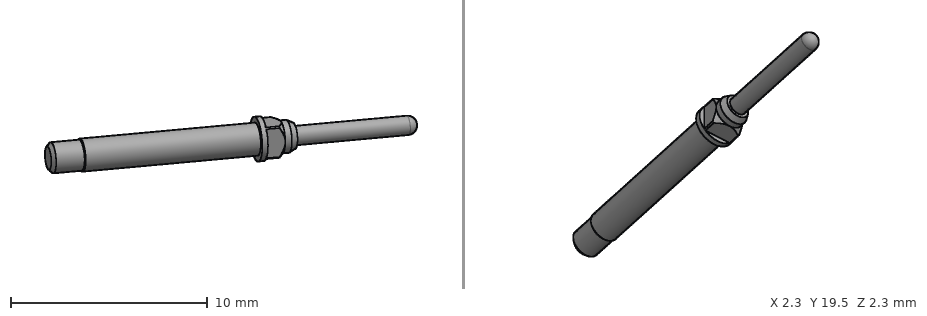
import cadquery as cq
import math


pin_diameter = 1.0
shoulder_diameter = 1.35
barrel_diameter = 1.7
flange_diameter = 2.3
tail_diameter = 1.6

flange_thickness = 0.3
square_length = 1.0
neck_length = 0.35
shoulder_length = 0.35
pin_length = 6.5
barrel_length = 9.3
tail_length = 1.7

square_width = barrel_diameter
barrel_step_chamfer = (barrel_diameter - tail_diameter) / 2
tail_chamfer = 0.2

pin_radius = pin_diameter / 2
shoulder_radius = shoulder_diameter / 2
barrel_radius = barrel_diameter / 2
flange_radius = flange_diameter / 2
tail_radius = tail_diameter / 2

square_end = flange_thickness + square_length
neck_end = square_end + neck_length
shoulder_end = neck_end + shoulder_length
tip_end = shoulder_end + pin_length
tail_start = -barrel_length
tail_end = tail_start - tail_length


def revolve_about_y(half_profile):
    """Revolve a closed half profile in the XY plane about the Y axis."""
    return half_profile.close().revolve(360, (0, 0, 0), (0, 1, 0))


def make_turned_body():
    """Barrel with stepped tail, flange, neck, conical shoulder and round-nosed pin."""
    nose_start = tip_end - pin_radius
    nose_mid = pin_radius * math.sin(math.radians(45))
    half_profile = (
        cq.Workplane("XY")
        .moveTo(0, tail_end)
        .lineTo(tail_radius - tail_chamfer, tail_end)
        .lineTo(tail_radius, tail_end + tail_chamfer)
        .lineTo(tail_radius, tail_start)
        .lineTo(barrel_radius, tail_start + barrel_step_chamfer)
        .lineTo(barrel_radius, 0)
        .lineTo(flange_radius, 0)
        .lineTo(flange_radius, flange_thickness)
        .lineTo(barrel_radius, flange_thickness)
        .lineTo(barrel_radius, neck_end)
        .lineTo(shoulder_radius, shoulder_end)
        .lineTo(pin_radius, shoulder_end)
        .lineTo(pin_radius, nose_start)
        .threePointArc((nose_mid, nose_start + nose_mid), (0, tip_end))
    )
    return revolve_about_y(half_profile)


def make_square_section():
    """Square with corners rounded to the flange diameter and a 45 degree lead-in cone."""
    cone_length = flange_radius - barrel_radius
    half_profile = (
        cq.Workplane("XY")
        .lineTo(flange_radius, 0)
        .lineTo(flange_radius, square_end - cone_length)
        .lineTo(barrel_radius, square_end)
        .lineTo(0, square_end)
    )
    square_bar = cq.Workplane("XY").box(
        square_width, square_end, square_width, centered=(True, False, True)
    )
    return revolve_about_y(half_profile).intersect(square_bar)


result = make_turned_body().union(make_square_section())